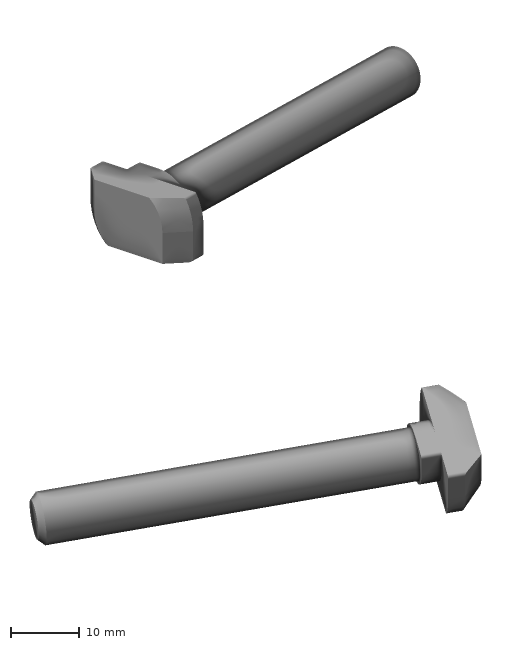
import cadquery as cq
import math

TOTAL_LENGTH = 65.7
THICKNESS = 10.0
CORNER_RADIUS = 0.5

HEAD_LENGTH = 19.0
HEAD_HEIGHT = 5.7
HEAD_BEVEL = 3.2

NECK_WIDTH = THICKNESS
NECK_HEIGHT = 3.0
NECK_TURN_RADIUS = 6.1

SHANK_DIAMETER = 8.0
TIP_CHAMFER = 1.0

HALF_THICKNESS = THICKNESS / 2
HEAD_RADIUS = HEAD_LENGTH / 2
NECK_TOP = HEAD_HEIGHT + NECK_HEIGHT


def extrude_along_y(profile, start, end):
    """Extrude an XZ profile from y = start to y = end."""
    return profile.extrude(start - end).translate((0, start, 0))


def make_head_bar():
    """Bar with two opposite ends rounded about the bolt axis so it can turn in the slot."""
    arc_end = math.sqrt(HEAD_RADIUS**2 - HALF_THICKNESS**2)
    half_angle = math.asin(HALF_THICKNESS / HEAD_RADIUS) / 2
    arc_mid_x = HEAD_RADIUS * math.cos(half_angle)
    arc_mid_z = HEAD_RADIUS * math.sin(half_angle)
    profile = (
        cq.Workplane("XZ")
        .moveTo(-HEAD_RADIUS, HALF_THICKNESS)
        .lineTo(arc_end, HALF_THICKNESS)
        .threePointArc((arc_mid_x, arc_mid_z), (HEAD_RADIUS, 0))
        .lineTo(HEAD_RADIUS, -HALF_THICKNESS)
        .lineTo(-arc_end, -HALF_THICKNESS)
        .threePointArc((-arc_mid_x, -arc_mid_z), (-HEAD_RADIUS, 0))
        .close()
    )
    bar = extrude_along_y(profile, 0, HEAD_HEIGHT)
    outer_edges = bar.faces(">Z or <Z").edges("|Y")
    return outer_edges.fillet(CORNER_RADIUS)


def draw_bevelled_half():
    """Half of the head's XY outline, from the bolt axis to the +X end."""
    return (
        cq.Workplane("XY")
        .lineTo(HEAD_RADIUS - HEAD_BEVEL, 0)
        .lineTo(HEAD_RADIUS, HEAD_BEVEL)
        .lineTo(HEAD_RADIUS, HEAD_HEIGHT)
        .lineTo(0, HEAD_HEIGHT)
        .close()
    )


def make_bevel_envelope():
    """Bevelled bounds of the head: conical at the rounded corners, flat at the square ones."""
    cone = draw_bevelled_half().revolve(360, (0, 0), (0, 1))
    square_corner = draw_bevelled_half().extrude(-HALF_THICKNESS)
    opposite_corner = square_corner.rotate((0, 0, 0), (0, 1, 0), 180)
    return cone.union(square_corner).union(opposite_corner)


def make_head():
    return make_head_bar().intersect(make_bevel_envelope())


def make_neck():
    """Square neck with two opposite corners rounded large and the other two small."""
    profile = cq.Workplane("XZ").rect(NECK_WIDTH, THICKNESS)
    neck = extrude_along_y(profile, HEAD_HEIGHT, NECK_TOP)
    diagonal = cq.Vector(1, 0, 1)
    cross_diagonal = cq.Vector(1, 0, -1)
    for direction, radius in ((diagonal, NECK_TURN_RADIUS), (cross_diagonal, CORNER_RADIUS)):
        for selector in (
            cq.selectors.DirectionMinMaxSelector(direction, True),
            cq.selectors.DirectionMinMaxSelector(direction, False),
        ):
            neck = neck.edges("|Y").edges(selector).fillet(radius)
    return neck


def make_shank():
    profile = cq.Workplane("XZ").circle(SHANK_DIAMETER / 2)
    shank = extrude_along_y(profile, NECK_TOP, TOTAL_LENGTH)
    return shank.faces(">Y").chamfer(TIP_CHAMFER)


result = make_head().union(make_neck()).union(make_shank())